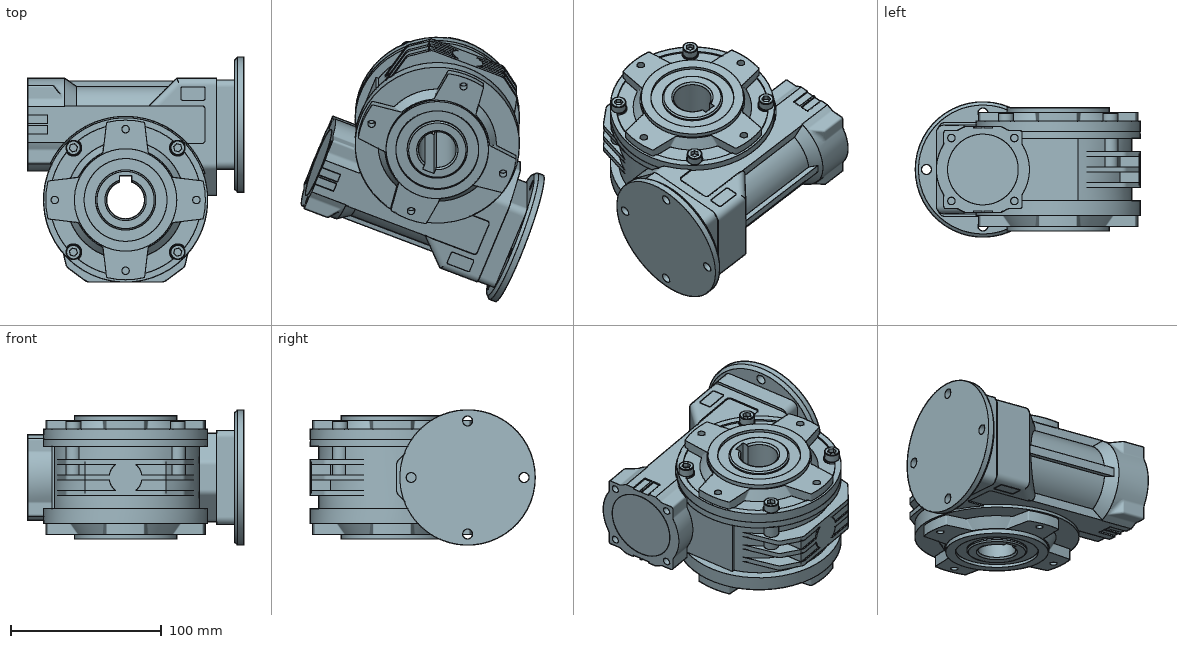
import cadquery as cq
import math


flange_radius = 109.1 / 2
drum_radius = 49.0
drum_half_height = 20.6
cover_clearance = 1.0
joint_z = 25.2
bottom_flange_z = 30.6
pad_z = 38.0
register_z = 41.0
register_radius = 68.0 / 2
seal_recess_radius = 55.0 / 2
seal_recess_depth = 2.0
cone_foot_radius = 39.3
cone_top_radius = 34.8
cone_pad_fillet = 1.0
hub_radius = 40.0 / 2

pad_outer_radius = 53.0
pad_corner_radius = 1.0
pad_outer_half_width = 12.6
pad_inner_half_width = 15.0
pad_inner_reach = 31.3
pad_hole_radius = 47.0
pad_hole_diameter = 4.92
pad_hole_depth = 8.0

rim_z = 32.2
rim_inner_radius = 50.4
rim_height = 1.1
screw_circle_radius = 49.0
screw_head_diameter = 9.8
screw_head_height = 5.5
screw_head_chamfer = 0.4
screw_seat_diameter = 11.0
hex_across_corners = 5.6
hex_depth = 3.0

bore_diameter = 25.0
keyway_width = 8.0
keyway_reach = 16.0
hub_chamfer = 1.0
bore_chamfer = 1.2

worm_y = 50.0
worm_flat_z = 28.5
worm_flat_half_width = 12.5
tube_radius = 25.6
back_rib_y = 79.0
back_rib_thickness = 6.0
worm_end_x = -65.0
worm_end_back_x = -40.5
taper_end_x = -32.6
worm_end_radius = 30.9
worm_end_square = 52.0
worm_end_corner_radius = 1.5
ear_root_radius = 3.0
worm_end_hole_pitch = 41.8
worm_end_hole_diameter = 5.0
worm_end_hole_depth = 12.0
ear_slant_start_x = -48.0
ear_slant_end_y = 66.5
bearing_cap_diameter = 47.0
bearing_cap_recess = 0.2
groove_length = 13.3
groove_width = 5.6
groove_pitch = 6.9
groove_depth = 1.0

block_x = 60.5
block_z = 29.45
block_back_y = 80.9
block_front_y = 2.8
block_slope_offset = 7.5
block_edge_radius = 5.0
block_shoulder_x = 34.0
flat_end_x = 52.7
flat_corner_radius = 2.0
label_center = (44.75, 70.6)
label_size = (16.1, 8.8)
label_depth = 0.3
label_corner_radius = 1.0

neck_y_size = 59.4
neck_z_size = 62.6
neck_corner_radius = 5.0
motor_flange_radius = 45.0
motor_flange_back_x = 72.2
motor_flange_front_x = 78.5
motor_flange_chamfer = 2.2
motor_bolt_radius = 75.0 / 2
motor_bolt_diameter = 6.5

side_wall_y = -13.1
screw_boss_diameter = 10.0
rib_thickness = 3.5
rib_pitch = 10.25
rib_face_y = -flange_radius
rib_root = (45.2, -18.8)
rib_shoulder = (39.3, -44.4)
rib_front_half_width = 25.6
rib_corner_radius = 5.0
web_half_width = 27.0
web_setback = 1.0
badge_diameter = 21.8

selection_margin = 0.5


def x_cylinder(radius, x_start, x_end):
    """A cylinder on the worm axis."""
    return (
        cq.Workplane("YZ", origin=(x_start, worm_y, 0))
        .circle(radius)
        .extrude(x_end - x_start)
    )


def z_cylinder(radius, z_start, z_end):
    """A cylinder on the output axis."""
    return cq.Workplane("XY", origin=(0, 0, z_start)).circle(radius).extrude(z_end - z_start)


def box(x_range, y_range, z_range):
    """A box between the given limits."""
    sizes = [limits[1] - limits[0] for limits in (x_range, y_range, z_range)]
    corner = (x_range[0], y_range[0], z_range[0])
    return cq.Workplane("XY", origin=corner).box(*sizes, centered=False)


def mounting_face(floor_z):
    """Cone, four pads and centring register standing up from floor_z to register_z."""
    face = (
        cq.Workplane("XZ")
        .polyline([(0, floor_z), (cone_foot_radius, floor_z), (cone_top_radius, pad_z), (0, pad_z)])
        .close()
        .revolve(360, (0, 0, 0), (0, 1, 0))
    )
    pad_corner_y = math.sqrt(pad_outer_radius**2 - pad_outer_half_width**2)
    outer_corners = cq.selectors.BoxSelector(
        (-pad_inner_half_width, pad_corner_y - selection_margin, floor_z),
        (pad_inner_half_width, pad_corner_y + selection_margin, pad_z),
    )
    pad = (
        cq.Workplane("XY", origin=(0, 0, floor_z))
        .moveTo(-pad_inner_half_width, pad_inner_reach)
        .lineTo(-pad_outer_half_width, pad_corner_y)
        .threePointArc((0, pad_outer_radius), (pad_outer_half_width, pad_corner_y))
        .lineTo(pad_inner_half_width, pad_inner_reach)
        .lineTo(pad_inner_half_width, 0)
        .lineTo(-pad_inner_half_width, 0)
        .close()
        .extrude(pad_z - floor_z)
        .edges("|Z")
        .edges(outer_corners)
        .fillet(pad_corner_radius)
    )
    for quarter in range(4):
        face = face.union(pad.rotate((0, 0, 0), (0, 0, 1), 90 * quarter))
    inner_corners = cq.selectors.BoxSelector(
        (-cone_foot_radius, -cone_foot_radius, floor_z + selection_margin),
        (cone_foot_radius, cone_foot_radius, pad_z - selection_margin),
    )
    face = face.edges(inner_corners).fillet(cone_pad_fillet)
    return face.union(z_cylinder(register_radius, floor_z, register_z))


def finish_mounting_face(body):
    """Cut the pad holes, the seal recess and the hub bore into an upward mounting face."""
    holes = (
        cq.Workplane("XY", origin=(0, 0, pad_z - pad_hole_depth))
        .polarArray(pad_hole_radius, 0, 360, 4)
        .circle(pad_hole_diameter / 2)
        .extrude(pad_hole_depth)
    )
    recess = z_cylinder(seal_recess_radius, register_z - seal_recess_depth, register_z)
    bore = z_cylinder(hub_radius, -register_z, register_z)
    return body.cut(holes).cut(recess).cut(bore)


def turn_over(body):
    """Turn a body half a turn about the X axis, so its top faces down."""
    return body.rotate((0, 0, 0), (1, 0, 0), 180)


def make_worm_end():
    """Closed worm bearing end: a square and a round flange profile, clipped flat above and below."""
    length = worm_end_back_x - worm_end_x
    square = (
        cq.Workplane("YZ", origin=(worm_end_x, worm_y, 0))
        .rect(worm_end_square, worm_end_square)
        .extrude(length)
        .edges("|X")
        .fillet(worm_end_corner_radius)
    )
    square_back_y = worm_y + worm_end_square / 2
    ear_cut = (
        cq.Workplane("XY", origin=(0, 0, -worm_end_square))
        .polyline([
            (ear_slant_start_x, square_back_y),
            (worm_end_back_x, ear_slant_end_y),
            (worm_end_back_x, square_back_y),
        ])
        .close()
        .extrude(2 * worm_end_square)
    )
    taper = (
        cq.Workplane("YZ", origin=(worm_end_back_x, worm_y, 0))
        .circle(worm_end_radius)
        .workplane(offset=taper_end_x - worm_end_back_x)
        .circle(tube_radius)
        .loft(ruled=True)
    )
    round_part = x_cylinder(worm_end_radius, worm_end_x, worm_end_back_x).union(taper)
    clip = box(
        (worm_end_x, taper_end_x),
        (worm_y - worm_end_radius, worm_y + worm_end_radius),
        (-worm_flat_z, worm_flat_z),
    )

    ears = square.cut(ear_cut)
    slant_direction = cq.Vector(worm_end_back_x - ear_slant_start_x, ear_slant_end_y - square_back_y, 0)
    ears = ears.edges(cq.selectors.ParallelDirSelector(slant_direction)).fillet(worm_end_corner_radius)
    worm_end = ears.union(round_part.intersect(clip))

    half_square = worm_end_square / 2
    root = math.sqrt(worm_end_radius**2 - half_square**2)
    root_points = []
    for side_y in (-1, 1):
        for side_z in (-1, 1):
            root_points.append((worm_y + side_y * root, side_z * half_square))
            root_points.append((worm_y + side_y * half_square, side_z * root))
    roots = worm_end.newObject([])
    for y, z in root_points:
        middle = ((worm_end_x + worm_end_back_x) / 2, y, z)
        roots = roots.add(worm_end.edges("|X").edges(cq.selectors.NearestToPointSelector(middle)))
    return roots.fillet(ear_root_radius)


def cut_worm_end_details(body):
    """Bolt holes, bearing cap recess and the paired grooves at the closed worm end."""
    end_plane = cq.Workplane("YZ", origin=(worm_end_x, worm_y, 0))
    holes = (
        end_plane.rect(worm_end_hole_pitch, worm_end_hole_pitch, forConstruction=True)
        .vertices()
        .circle(worm_end_hole_diameter / 2)
        .extrude(worm_end_hole_depth)
    )
    cap = end_plane.circle(bearing_cap_diameter / 2).extrude(bearing_cap_recess)
    body = body.cut(holes).cut(cap)
    for side in (-1, 1):
        center_y = worm_y + side * groove_pitch / 2
        groove = box(
            (worm_end_x, worm_end_x + groove_length),
            (center_y - groove_width / 2, center_y + groove_width / 2),
            (worm_flat_z - groove_depth, worm_flat_z),
        )
        body = body.cut(groove).cut(groove.mirror("XY"))
    return body


def make_motor_block():
    """Block on the motor side, with a 45 degree rear face and 45 degree lower faces."""
    flat_back_y = worm_y + worm_flat_half_width
    inner_x = block_shoulder_x - (block_back_y - flat_back_y)
    slanted_edges = cq.selectors.ParallelDirSelector(cq.Vector(1, 1, 0))
    rear_edges = slanted_edges + cq.selectors.StringSyntaxSelector("|X and >Y")
    plan = (
        cq.Workplane("XY", origin=(0, 0, -block_z))
        .polyline([
            (block_x, block_front_y),
            (block_x, block_back_y),
            (block_shoulder_x, block_back_y),
            (inner_x, flat_back_y),
            (inner_x, block_front_y),
        ])
        .close()
        .extrude(2 * block_z)
        .edges(rear_edges)
        .fillet(block_edge_radius)
    )
    nose_z = block_front_y + block_slope_offset
    shoulder_y = block_z - block_slope_offset
    profile = (
        cq.Workplane("YZ")
        .polyline([
            (block_front_y, -nose_z),
            (shoulder_y, -block_z),
            (block_back_y, -block_z),
            (block_back_y, block_z),
            (shoulder_y, block_z),
            (block_front_y, nose_z),
        ])
        .close()
        .extrude(block_x)
    )
    lower_edges = cq.selectors.BoxSelector(
        (0, 0, -block_z - selection_margin),
        (block_x, shoulder_y + selection_margin, block_z + selection_margin),
    )
    profile = profile.edges("|X").edges(lower_edges).fillet(block_edge_radius)
    block = plan.intersect(profile)
    flat_length = flat_end_x + block_x
    flat_recess = (
        cq.Workplane("XY", origin=(flat_end_x - flat_length / 2, worm_y, worm_flat_z))
        .rect(flat_length, 2 * worm_flat_half_width)
        .extrude(block_z - worm_flat_z)
        .edges("|Z")
        .fillet(flat_corner_radius)
    )
    label = (
        cq.Workplane("XY", origin=(*label_center, block_z - label_depth))
        .rect(*label_size)
        .extrude(label_depth)
        .edges("|Z")
        .fillet(label_corner_radius)
    )
    for recess in (flat_recess, label):
        block = block.cut(recess).cut(recess.mirror("XY"))
    return block


def make_motor_flange():
    """Square neck and round motor flange."""
    neck = (
        cq.Workplane("YZ", origin=(block_x, worm_y, 0))
        .rect(neck_y_size, neck_z_size)
        .extrude(motor_flange_front_x - block_x)
        .edges("|X")
        .fillet(neck_corner_radius)
    )
    disc = (
        x_cylinder(motor_flange_radius, motor_flange_back_x, motor_flange_front_x)
        .faces("<X")
        .chamfer(motor_flange_chamfer)
    )
    holes = (
        cq.Workplane("YZ", origin=(block_x, worm_y, 0))
        .polarArray(motor_bolt_radius, 0, 360, 4)
        .circle(motor_bolt_diameter / 2)
        .extrude(motor_flange_front_x - block_x)
    )
    return neck.union(disc.cut(holes))


def make_worm_housing():
    """Everything along the worm axis."""
    tube = x_cylinder(tube_radius, worm_end_back_x, block_shoulder_x)
    flat_body = box(
        (worm_end_back_x, block_shoulder_x),
        (worm_y - worm_flat_half_width, worm_y + worm_flat_half_width),
        (-worm_flat_z, worm_flat_z),
    )
    back_rib = box(
        (worm_end_back_x, block_shoulder_x),
        (worm_y, back_rib_y),
        (-back_rib_thickness / 2, back_rib_thickness / 2),
    )
    body = tube.union(flat_body).union(back_rib).union(make_worm_end())
    body = cut_worm_end_details(body)
    return body.union(make_motor_block()).union(make_motor_flange())


def make_cooling_ribs():
    """Three cooling ribs joined by a set-back web and a round badge pad."""
    outline = [
        rib_root,
        rib_shoulder,
        (rib_front_half_width, rib_face_y),
        (-rib_front_half_width, rib_face_y),
        (-rib_shoulder[0], rib_shoulder[1]),
        (-rib_root[0], rib_root[1]),
    ]
    rib = cq.Workplane("XY").polyline(outline).close().extrude(rib_thickness)
    front_edges = cq.selectors.BoxSelector(
        (-drum_radius, rib_face_y - selection_margin, 0),
        (drum_radius, rib_shoulder[1] + selection_margin, rib_thickness),
    )
    rib = rib.edges("|Z").edges(front_edges).fillet(rib_corner_radius)
    ribs = box(
        (-web_half_width, web_half_width),
        (rib_face_y + web_setback, 0),
        (-rib_pitch, rib_pitch),
    )
    for level in (-1, 0, 1):
        ribs = ribs.union(rib.translate((0, 0, level * rib_pitch - rib_thickness / 2)))
    badge = cq.Workplane("XZ").circle(badge_diameter / 2).extrude(-rib_face_y)
    return ribs.union(badge)


def make_housing():
    """Drum, lower mounting face, worm housing and cooling ribs."""
    drum = z_cylinder(drum_radius, -bottom_flange_z, joint_z)
    drum = drum.union(z_cylinder(flange_radius, drum_half_height, joint_z))
    drum = drum.union(z_cylinder(flange_radius, -bottom_flange_z, -drum_half_height))
    side_wall = box((-drum_radius, 0), (side_wall_y, worm_y), (-drum_half_height, drum_half_height))
    drum = drum.union(side_wall).union(make_cooling_ribs())
    bosses = (
        cq.Workplane("XY")
        .polarArray(screw_circle_radius, 45, 360, 4)
        .circle(screw_boss_diameter / 2)
        .extrude(drum_half_height)
    )
    drum = drum.union(bosses)
    cover_seat = z_cylinder(flange_radius + cover_clearance, joint_z, register_z)
    body = drum.union(make_worm_housing().cut(cover_seat))
    body = turn_over(body.union(turn_over(mounting_face(bottom_flange_z))))
    return turn_over(finish_mounting_face(body))


def make_cover():
    """Top cover with a raised rim, its mounting face and four socket head screws."""
    floor_z = rim_z - rim_height
    body = z_cylinder(flange_radius, joint_z, rim_z)
    body = body.cut(z_cylinder(rim_inner_radius, floor_z, rim_z))
    seats = (
        cq.Workplane("XY", origin=(0, 0, joint_z))
        .polarArray(screw_circle_radius, 45, 360, 4)
        .circle(screw_seat_diameter / 2)
        .extrude(rim_z - joint_z)
        .intersect(z_cylinder(flange_radius, joint_z, rim_z))
    )
    heads = (
        cq.Workplane("XY", origin=(0, 0, rim_z))
        .polarArray(screw_circle_radius, 45, 360, 4)
        .circle(screw_head_diameter / 2)
        .extrude(screw_head_height)
        .faces(">Z")
        .chamfer(screw_head_chamfer)
    )
    sockets = (
        cq.Workplane("XY", origin=(0, 0, rim_z + screw_head_height - hex_depth))
        .polarArray(screw_circle_radius, 45, 360, 4)
        .polygon(6, hex_across_corners)
        .extrude(hex_depth)
    )
    body = body.union(seats).union(heads).cut(sockets).union(mounting_face(floor_z))
    return finish_mounting_face(body)


def make_output_shaft():
    """Hollow output shaft with a keyway."""
    shaft = z_cylinder(hub_radius, -register_z, register_z).faces("<Z or >Z").chamfer(hub_chamfer)
    shaft = shaft.cut(z_cylinder(bore_diameter / 2, -register_z, register_z))
    bore_rims = shaft.faces("<Z or >Z").edges(cq.selectors.RadiusNthSelector(0))
    shaft = bore_rims.chamfer(bore_chamfer)
    keyway = box((-keyway_width / 2, keyway_width / 2), (0, keyway_reach), (-register_z, register_z))
    return shaft.cut(keyway)


housing = make_housing()
cover = make_cover()
output_shaft = make_output_shaft()

result = cq.Compound.makeCompound([housing.val(), cover.val(), output_shaft.val()])